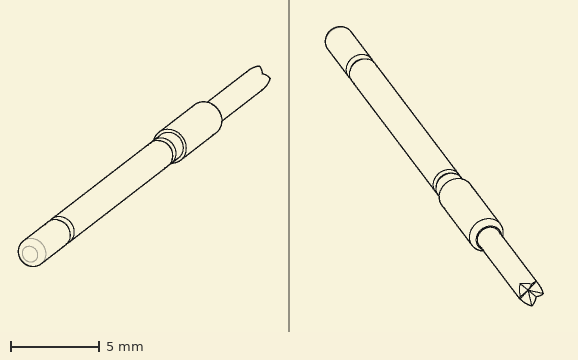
import cadquery as cq
import math

length = 36.0
tail_y = -length / 2
tip_y = length / 2

collar_radius = 1.0
barrel_radius = 0.83
plunger_radius = 0.7

plunger_length = 7.95
collar_length = 6.1
collar_taper_length = 0.45
collar_taper_depth = 0.25
tail_round_radius = 0.35

front_groove_width = 0.5
rear_groove_width = 0.6
front_groove_depth = 0.1
rear_groove_depth = 0.15
front_groove_distance = 15.45
rear_groove_distance = 4.5

crown_depth = 0.7

collar_front_y = tip_y - plunger_length
collar_back_y = collar_front_y - collar_length


def cylinder(radius, start_y, end_y):
    """Solid cylinder on the Y axis between two stations."""
    return cq.Workplane("XZ", origin=(0, end_y, 0)).circle(radius).extrude(end_y - start_y)


def crimp_groove(center_y, width, depth):
    """V-section ring cut into the barrel surface to the given width and depth."""
    return (
        cq.Workplane("XY")
        .moveTo(barrel_radius - depth, center_y)
        .lineTo(barrel_radius, center_y + width / 2)
        .lineTo(barrel_radius + depth, center_y)
        .lineTo(barrel_radius, center_y - width / 2)
        .close()
        .revolve(360, (0, 0), (0, 1))
    )


def crown_notch(angle):
    """V groove across the plunger end, turned about the Y axis."""
    tip_offset = plunger_radius * math.sin(math.radians(45))
    half_width = 2 * tip_offset
    top_y = tip_y + crown_depth
    return (
        cq.Workplane("XY")
        .moveTo(0, tip_y - crown_depth)
        .lineTo(half_width, top_y)
        .lineTo(-half_width, top_y)
        .close()
        .extrude(2 * plunger_radius, both=True)
        .rotate((0, 0, 0), (0, 1, 0), angle)
    )


barrel = cylinder(barrel_radius, tail_y, collar_back_y).faces("<Y").edges().fillet(tail_round_radius)
barrel = barrel.cut(crimp_groove(tip_y - front_groove_distance, front_groove_width, front_groove_depth))
barrel = barrel.cut(crimp_groove(tail_y + rear_groove_distance, rear_groove_width, rear_groove_depth))

collar = cylinder(collar_radius, collar_back_y, collar_front_y)
collar = collar.faces(">Y").edges().chamfer(collar_taper_length, collar_taper_depth)

plunger = cylinder(plunger_radius, collar_front_y, tip_y)
for notch_angle in (45, 135):
    plunger = plunger.cut(crown_notch(notch_angle))

result = barrel.union(collar).union(plunger)